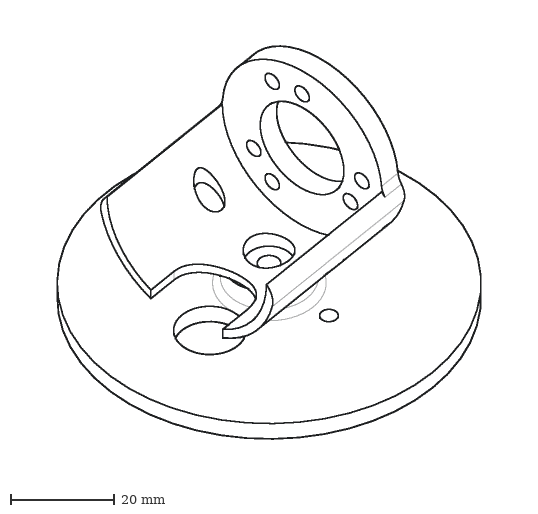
import cadquery as cq
import math

base_radius = 41.0
base_thickness = 4.0
screw_hole_radius = 1.8
screw_spacing = 15.0
access_hole_radius = 3.0

cradle_axis_z = 32.0
cradle_inner_radius = 20.0
cradle_wall = 2.0
cradle_outer_radius = cradle_inner_radius + cradle_wall
cradle_front_y = -25.0
cradle_back_y = 15.0
cradle_length = cradle_back_y - cradle_front_y
lip_radius = 5.0

flange_radius = cradle_inner_radius
flange_thickness = 5.0
flange_blend_radius = 5.0
motor_opening_radius = 10.5
motor_screw_radius = 1.8
triple_circle_radius = 14.0
triple_angles = (90, 210, 330)
wide_circle_radius = 15.0
wide_angles = (0, 120, 240)

pedestal_radius = 9.5
pedestal_fillet = 1.5
shaft_hole_radius = 2.3
counterbore_radius = 5.0
counterbore_floor_z = 9.0

cable_y = -18.0
cable_slot_radius = 9.0
cable_hole_radius = 7.0


def vertical_cylinder(radius, bottom, top, x=0.0, y=0.0):
    return cq.Workplane("XY", origin=(x, y, bottom)).circle(radius).extrude(top - bottom)


def back_sketch():
    """Sketch plane on the back end, centred on the cradle axis; extrude goes toward -Y."""
    return cq.Workplane("XZ", origin=(0, cradle_back_y, cradle_axis_z))


def polar(radius, angle, center=(0.0, 0.0)):
    return (center[0] + radius * math.cos(angle), center[1] + radius * math.sin(angle))


def mirrored(point):
    return (-point[0], point[1])


lip_corner = (cradle_inner_radius, 0.0)
lip_center_distance = cradle_outer_radius - lip_radius
lip_center_angle = -math.acos(
    (lip_center_distance**2 + cradle_inner_radius**2 - lip_radius**2)
    / (2 * lip_center_distance * cradle_inner_radius)
)
lip_center = polar(lip_center_distance, lip_center_angle)
lip_end = polar(cradle_outer_radius, lip_center_angle)
lip_corner_angle = math.atan2(lip_corner[1] - lip_center[1], lip_corner[0] - lip_center[0])
lip_middle = polar(lip_radius, (lip_center_angle + lip_corner_angle) / 2, lip_center)


def make_base():
    return vertical_cylinder(base_radius, 0, base_thickness)


def make_pedestal():
    """Filleted post whose top follows the outer surface of the cradle."""
    post_edge = pedestal_radius + pedestal_fillet
    fillet_top = base_thickness + pedestal_fillet
    fillet_middle = polar(pedestal_fillet, math.radians(225), (post_edge, fillet_top))
    post = (
        cq.Workplane("XZ")
        .moveTo(0, base_thickness)
        .lineTo(post_edge, base_thickness)
        .threePointArc(fillet_middle, (pedestal_radius, fillet_top))
        .lineTo(pedestal_radius, cradle_axis_z)
        .lineTo(0, cradle_axis_z)
        .close()
        .revolve(360, (0, 0), (0, 1))
    )
    cradle_envelope = back_sketch().circle(cradle_outer_radius).extrude(cradle_length)
    return post.cut(cradle_envelope)


def make_cradle():
    cradle = (
        back_sketch()
        .moveTo(*lip_corner)
        .threePointArc((0, -cradle_inner_radius), mirrored(lip_corner))
        .threePointArc(mirrored(lip_middle), mirrored(lip_end))
        .threePointArc((0, -cradle_outer_radius), lip_end)
        .threePointArc(lip_middle, lip_corner)
        .close()
        .extrude(cradle_length)
    )
    slot_end = vertical_cylinder(cable_slot_radius, 0, cradle_axis_z, y=cable_y)
    slot_length = cable_y - cradle_front_y
    slot_mouth = cq.Workplane("XY").box(
        2 * cable_slot_radius, slot_length, cradle_axis_z, centered=(True, False, False)
    ).translate((0, cradle_front_y, 0))
    return cradle.cut(slot_end).cut(slot_mouth)


def make_flange_blend():
    """Sliver filling the concave corner between the flange rim and the +X cradle lip."""
    center_distance = flange_radius + flange_blend_radius
    lip_distance = lip_radius + flange_blend_radius
    angle_from_lip = math.acos(
        (center_distance**2 + lip_center_distance**2 - lip_distance**2)
        / (2 * center_distance * lip_center_distance)
    )
    center_angle = lip_center_angle + angle_from_lip
    center = polar(center_distance, center_angle)
    toward_lip = math.atan2(lip_center[1] - center[1], lip_center[0] - center[0])
    toward_flange = center_angle - math.pi
    on_lip = polar(flange_blend_radius, toward_lip, center)
    on_flange = polar(flange_radius, center_angle)
    middle = polar(flange_blend_radius, (toward_lip + toward_flange) / 2, center)
    return (
        back_sketch()
        .moveTo(*lip_corner)
        .lineTo(*on_lip)
        .threePointArc(middle, on_flange)
        .close()
        .extrude(flange_thickness)
    )


def make_flange():
    blend = make_flange_blend()
    disc = back_sketch().circle(flange_radius).extrude(flange_thickness)
    return disc.union(blend).union(blend.mirror("YZ"))


def cut_motor_holes(body):
    body = body.cut(back_sketch().circle(motor_opening_radius).extrude(flange_thickness))
    patterns = ((triple_circle_radius, triple_angles), (wide_circle_radius, wide_angles))
    for circle_radius, angles in patterns:
        centers = [polar(circle_radius, math.radians(angle)) for angle in angles]
        screws = back_sketch().pushPoints(centers).circle(motor_screw_radius)
        body = body.cut(screws.extrude(flange_thickness))
    return body


def cut_base_holes(body):
    body = body.cut(vertical_cylinder(shaft_hole_radius, 0, cradle_axis_z))
    body = body.cut(vertical_cylinder(counterbore_radius, counterbore_floor_z, cradle_axis_z))
    body = body.cut(vertical_cylinder(cable_hole_radius, 0, base_thickness, y=cable_y))
    for x in (-screw_spacing, screw_spacing):
        body = body.cut(vertical_cylinder(screw_hole_radius, 0, base_thickness, x=x))
        body = body.cut(vertical_cylinder(access_hole_radius, base_thickness, cradle_axis_z, x=x))
    return body


body = make_base().union(make_pedestal()).union(make_cradle()).union(make_flange())
result = cut_base_holes(cut_motor_holes(body))